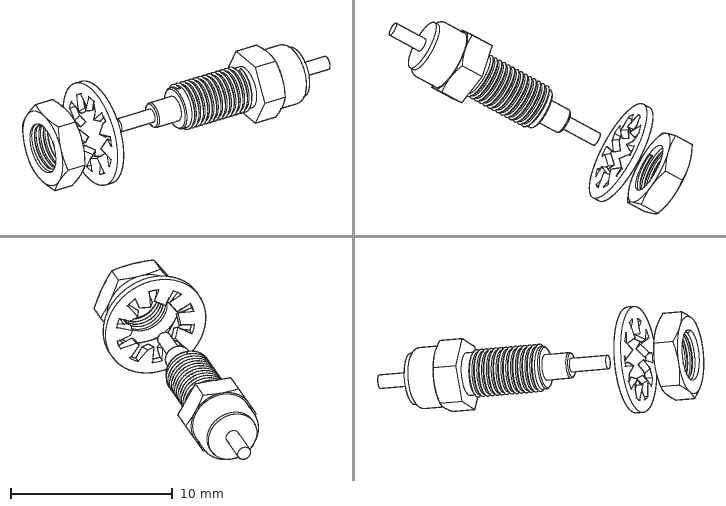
import cadquery as cq
import math


PIN_RADIUS = 0.43
PIN_REAR_Y = 5.83
PIN_LENGTH = 15.0

HEAD_RADIUS = 1.6
HEAD_THICKNESS = 0.25
SLEEVE_RADIUS = 0.8
SLEEVE_FRONT_Y = -6.79
SLEEVE_CHAMFER_LENGTH = 0.1
SLEEVE_CHAMFER_DEPTH = 0.06

HOUSING_REAR_Y = 3.41
HOUSING_FRONT_Y = -5.1
BARREL_RADIUS = 1.9
BARREL_FILLET = 0.39
HOUSING_HEX_FLATS = 4.0
HOUSING_HEX_THICKNESS = 1.61
SHANK_RADIUS = 1.33
SHANK_CHAMFER = 0.08

RIDGE_HEIGHT = 0.15
RIDGE_BASE = 0.22
RIDGE_SINK = 0.01
SHANK_THREAD_START_Y = -0.37
SHANK_THREAD_LENGTH = 4.44
SHANK_THREAD_TURNS = 14
THREAD_PITCH = SHANK_THREAD_LENGTH / SHANK_THREAD_TURNS

HEX_CHAMFER_ANGLE = 25
HEX_RIM_RATIO = 0.6

WASHER_RADIUS = 3.3
WASHER_HOLE_RADIUS = 2.58
WASHER_THICKNESS = 0.45
WASHER_CENTER_Y = -10.98
TOOTH_COUNT = 10
TOOTH_FIRST_ANGLE = 33.5
TOOTH_TIP_RADIUS = 1.57
TOOTH_ROOT_RADIUS = 2.45
TOOTH_TAB_OVERLAP = 0.1
TOOTH_ROOT_WIDTH = 0.96
TOOTH_TIP_WIDTH = 0.75
TOOTH_TWIST = -38

NUT_FLATS = 4.78
NUT_THICKNESS = 1.57
NUT_FRONT_Y = -14.61
NUT_TURN = -5
NUT_BORE_RADIUS = 1.55
NUT_THREAD_TURNS = 4


def revolved(profile):
    """Solid of revolution about Y from (radius, y) points."""
    return cq.Workplane("XY").polyline(profile).close().revolve(360, (0, 0), (0, 1))


def cylinder(radius, rear_y, front_y):
    """Cylinder along Y between two ends."""
    return cq.Workplane("XZ", origin=(0, rear_y, 0)).circle(radius).extrude(rear_y - front_y)


def hexagon(flats, rear_y, front_y, turn=0):
    """Hexagonal prism along Y with two corners on X, turned about its axis."""
    corner_diameter = flats / math.cos(math.radians(30))
    prism = cq.Workplane("XZ", origin=(0, rear_y, 0)).polygon(6, corner_diameter).extrude(rear_y - front_y)
    return prism.rotate((0, 0, 0), (0, -1, 0), turn)


def corner_cone(flats, rear_y, front_y, chamfer_rear, chamfer_front):
    """Turned blank whose sloped ends trim the corners of a hexagon."""
    face_radius = flats / 2
    rim_radius = flats * HEX_RIM_RATIO
    drop = (rim_radius - face_radius) * math.tan(math.radians(HEX_CHAMFER_ANGLE))
    rear_drop = drop if chamfer_rear else 0
    front_drop = drop if chamfer_front else 0
    front_face_radius = face_radius if chamfer_front else rim_radius / 2
    return revolved([
        (0, rear_y),
        (face_radius, rear_y),
        (rim_radius, rear_y - rear_drop),
        (rim_radius, front_y + front_drop),
        (front_face_radius, front_y),
        (0, front_y),
    ])


def thread_ridge(base_radius, crest_radius, start_y, turns):
    """Left-hand helical ridge that starts at +Z and advances toward -Y."""
    outward = math.copysign(1, crest_radius - base_radius)
    foot_radius = base_radius - outward * RIDGE_SINK
    path = cq.Wire.makeHelix(THREAD_PITCH, THREAD_PITCH * turns, base_radius, lefthand=True)
    ridge = (
        cq.Workplane("XZ")
        .polyline([
            (foot_radius, -RIDGE_BASE / 2),
            (crest_radius, 0),
            (foot_radius, RIDGE_BASE / 2),
        ])
        .close()
        .sweep(cq.Workplane(path), isFrenet=True)
    )
    frame = cq.Plane(origin=(0, start_y, 0), xDir=(0, 0, 1), normal=(0, -1, 0))
    return cq.Workplane(ridge.val().moved(cq.Location(frame)))


def make_pin():
    return cylinder(PIN_RADIUS, PIN_REAR_Y, PIN_REAR_Y - PIN_LENGTH)


def make_insulator():
    head_rear_y = HOUSING_REAR_Y + HEAD_THICKNESS
    return revolved([
        (PIN_RADIUS, head_rear_y),
        (HEAD_RADIUS, head_rear_y),
        (HEAD_RADIUS, HOUSING_REAR_Y),
        (SLEEVE_RADIUS, HOUSING_REAR_Y),
        (SLEEVE_RADIUS, SLEEVE_FRONT_Y + SLEEVE_CHAMFER_LENGTH),
        (SLEEVE_RADIUS - SLEEVE_CHAMFER_DEPTH, SLEEVE_FRONT_Y),
        (PIN_RADIUS, SLEEVE_FRONT_Y),
    ])


def make_housing():
    barrel = cylinder(BARREL_RADIUS, HOUSING_REAR_Y, 0).faces(">Y").edges().fillet(BARREL_FILLET)
    flange = hexagon(HOUSING_HEX_FLATS, HOUSING_HEX_THICKNESS, 0).intersect(
        corner_cone(HOUSING_HEX_FLATS, HOUSING_HEX_THICKNESS, 0, True, False)
    )
    shank = cylinder(SHANK_RADIUS, 0, HOUSING_FRONT_Y).faces("<Y").chamfer(SHANK_CHAMFER)
    ridge = thread_ridge(
        SHANK_RADIUS, SHANK_RADIUS + RIDGE_HEIGHT, SHANK_THREAD_START_Y, SHANK_THREAD_TURNS
    )
    bore = cylinder(SLEEVE_RADIUS, HOUSING_REAR_Y, HOUSING_FRONT_Y)
    return barrel.union(flange).union(shank).cut(bore).union(ridge)


def tooth_section(x, width, twist):
    """Rectangular cross-section of a tooth on +X, turned by the twist angle."""
    plane = cq.Plane(origin=(x, 0, 0), xDir=(0, 1, 0), normal=(1, 0, 0)).rotated((0, 0, twist))
    return cq.Workplane(plane).rect(WASHER_THICKNESS, width)


def make_tooth():
    """Washer tooth on +X: a flat tab in the ring, then a blade twisted about X toward its tip."""
    tab_length = WASHER_HOLE_RADIUS + TOOTH_TAB_OVERLAP - TOOTH_ROOT_RADIUS
    tab = tooth_section(TOOTH_ROOT_RADIUS, TOOTH_ROOT_WIDTH, 0).extrude(tab_length)
    blade = cq.Solid.makeLoft(
        [
            tooth_section(TOOTH_ROOT_RADIUS, TOOTH_ROOT_WIDTH, 0).val(),
            tooth_section(TOOTH_TIP_RADIUS, TOOTH_TIP_WIDTH, TOOTH_TWIST).val(),
        ],
        True,
    )
    return tab.union(cq.Workplane(blade))


def make_washer():
    half = WASHER_THICKNESS / 2
    washer = cylinder(WASHER_RADIUS, half, -half).cut(cylinder(WASHER_HOLE_RADIUS, half, -half))
    tooth = make_tooth()
    for index in range(TOOTH_COUNT):
        angle = TOOTH_FIRST_ANGLE + index * 360 / TOOTH_COUNT
        washer = washer.union(tooth.rotate((0, 0, 0), (0, -1, 0), angle))
    return washer.translate((0, WASHER_CENTER_Y, 0))


def make_nut():
    rear_y = NUT_FRONT_Y + NUT_THICKNESS
    blank = hexagon(NUT_FLATS, rear_y, NUT_FRONT_Y, NUT_TURN).intersect(
        corner_cone(NUT_FLATS, rear_y, NUT_FRONT_Y, True, True)
    )
    thread_start_y = rear_y - (NUT_THICKNESS - NUT_THREAD_TURNS * THREAD_PITCH) / 2
    ridge = thread_ridge(
        NUT_BORE_RADIUS, NUT_BORE_RADIUS - RIDGE_HEIGHT, thread_start_y, NUT_THREAD_TURNS
    )
    return blank.cut(cylinder(NUT_BORE_RADIUS, rear_y, NUT_FRONT_Y)).union(ridge)


pin = make_pin()
insulator = make_insulator()
housing = make_housing()
washer = make_washer()
nut = make_nut()

result = cq.Compound.makeCompound(
    [pin.val(), insulator.val(), housing.val(), washer.val(), nut.val()]
)